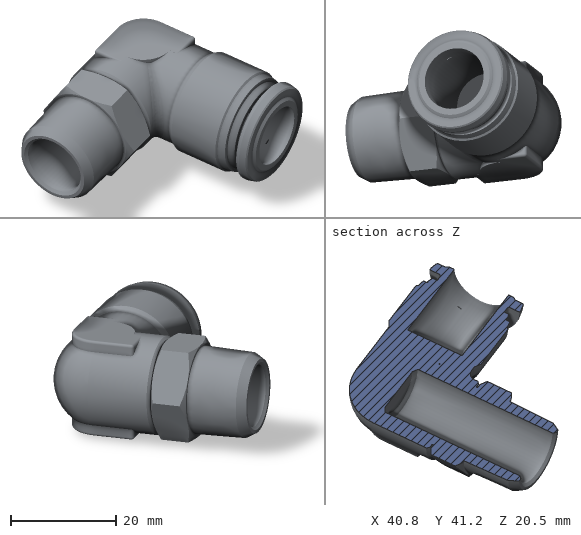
import cadquery as cq
import math


overall_width = 40.8
overall_length = 41.25
sleeve_diameter = 20.5
sleeve_radius = sleeve_diameter / 2

body_radius = 9.5
body_end = 12.3
body_end_chamfer = 0.5
crease_fillet = 1.5
crease_half_height = 9.08

pad_height = body_radius + 0.02
pad_radius = 6.0
pad_reach = 7.95
pad_edge_fillet = 0.5

hex_start = 12.5
hex_length = 7.0
hex_corner_radius = 10.4
hex_face_radius = hex_corner_radius * math.cos(math.pi / 6)
hex_chamfer_angle = 30.0
gap_radius = 8.13

stem_end = overall_length - sleeve_radius
stem_root_radius = 8.45
stem_tip_radius = 8.2
stem_chamfer_length = 1.77
stem_end_radius = 7.18

bore_radius = 6.0
bore_mouth_radius = 6.5
bore_mouth_length = 0.55
bore_floor_radius = 5.0
bore_floor_taper = 0.58
bore_depth = stem_end

sleeve_taper_start = 12.05
sleeve_start = 13.3
sleeve_end = 23.22
sleeve_lip_start = 23.5
sleeve_lip_radius = 9.9
sleeve_lip_end = 25.0
sleeve_lip_end_radius = 9.6
guide_groove_width = 0.12
guide_groove_radius = 8.8
guide_end = 26.45
guide_radius = 8.9
guide_end_radius = 8.45

neck_radius = 7.45
neck_fillet = 0.45
rim_start = 27.8
rim_radius = 10.0
rim_taper_start = 28.42
rim_end = 30.0
rim_end_radius = 9.7
rim_chamfer = 0.25
button_end = overall_width - hex_corner_radius
button_step_radius = 7.75
button_end_radius = 7.18

tube_bore_radius = 6.0

slit_width = 1.0
slit_length = 0.25
slit_tilt = 25.0
slit_count = 2

select_margin = 0.05


def revolve_socket(profile):
    """Revolve an (x, radius) profile about the X axis."""
    return profile.close().revolve(360, (0, 0, 0), (1, 0, 0))


def revolve_stem(points):
    """Revolve (radius, distance along -Y) points about the Y axis."""
    outline = [(radius, -distance) for radius, distance in points]
    return cq.Workplane("XY").polyline(outline).close().revolve(360, (0, 0, 0), (0, 1, 0))


def make_body():
    socket_leg = cq.Workplane("YZ").circle(body_radius).extrude(sleeve_start)
    stem_leg = (
        cq.Workplane("XZ").circle(body_radius).extrude(body_end)
        .faces("<Y").chamfer(body_end_chamfer)
    )
    slab = cq.Workplane("XY").box(4 * body_end, 4 * body_end, 2 * crease_half_height)
    inner_corner = slab.translate((2 * body_end, -2 * body_end, 0))
    crease_region = cq.selectors.BoxSelector(
        (0, -body_radius + select_margin, -crease_half_height + select_margin),
        (body_radius - select_margin, 0, crease_half_height - select_margin),
    )
    crease = (
        socket_leg.union(stem_leg).intersect(inner_corner)
        .edges(crease_region).fillet(crease_fillet)
    )
    elbow = cq.Workplane("XY").sphere(body_radius)
    return socket_leg.union(stem_leg).union(elbow).union(crease)


def make_pads():
    """One prism through the body whose two ends stand out as the flat pads."""
    arc_middle = pad_radius / math.sqrt(2)
    prism = (
        cq.Workplane("XY").moveTo(pad_radius, 0).lineTo(pad_reach, 0)
        .lineTo(pad_reach, pad_radius).lineTo(0, pad_radius)
        .threePointArc((-arc_middle, arc_middle), (-pad_radius, 0))
        .lineTo(-pad_radius, -pad_reach).lineTo(0, -pad_reach).lineTo(0, -pad_radius)
        .threePointArc((arc_middle, -arc_middle), (pad_radius, 0))
        .close().extrude(pad_height, both=True)
    )
    sharp_rim = prism.faces("|Z").edges(cq.selectors.BoxSelector(
        (-select_margin, -pad_reach + select_margin, -2 * pad_height),
        (pad_reach - select_margin, select_margin, 2 * pad_height),
    )).vals()
    rim_edges = prism.faces("|Z").edges().vals()
    soft_edges = [edge for edge in rim_edges if not any(edge.isSame(sharp) for sharp in sharp_rim)]
    outer_corners = [
        prism.edges("|Z").edges(cq.selectors.NearestToPointSelector(corner)).val()
        for corner in ((pad_reach, pad_radius, 0), (-pad_radius, -pad_reach, 0))
    ]
    return prism.newObject(soft_edges + outer_corners).fillet(pad_edge_fillet)


def make_nut():
    nut = (
        cq.Workplane("XZ", origin=(0, -hex_start, 0))
        .polygon(6, 2 * hex_corner_radius).extrude(hex_length)
    )
    drop = (hex_corner_radius - hex_face_radius) * math.tan(math.radians(hex_chamfer_angle))
    hex_end = hex_start + hex_length
    envelope = revolve_stem([
        (0, hex_start), (hex_face_radius, hex_start), (hex_corner_radius, hex_start + drop),
        (hex_corner_radius, hex_end - drop), (hex_face_radius, hex_end), (0, hex_end),
    ])
    return nut.intersect(envelope)


def make_stem():
    return revolve_stem([
        (0, 0), (gap_radius, 0), (gap_radius, hex_start + hex_length / 2),
        (stem_root_radius, hex_start + hex_length / 2),
        (stem_root_radius, hex_start + hex_length),
        (stem_tip_radius, stem_end - stem_chamfer_length),
        (stem_end_radius, stem_end), (0, stem_end),
    ])


def make_bore():
    floor = stem_end - bore_depth
    return revolve_stem([
        (0, floor), (bore_floor_radius, floor), (bore_radius, floor + bore_floor_taper),
        (bore_radius, stem_end - bore_mouth_length), (bore_mouth_radius, stem_end), (0, stem_end),
    ])


def make_socket():
    sleeve = (
        cq.Workplane("XY").moveTo(0, 0).lineTo(0, body_radius)
        .lineTo(sleeve_taper_start, body_radius).lineTo(sleeve_start, sleeve_radius)
        .lineTo(sleeve_end, sleeve_radius).lineTo(sleeve_lip_start, sleeve_lip_radius)
        .lineTo(sleeve_lip_end, sleeve_lip_end_radius).lineTo(sleeve_lip_end, guide_groove_radius)
        .lineTo(sleeve_lip_end + guide_groove_width, guide_groove_radius)
        .lineTo(sleeve_lip_end + guide_groove_width, guide_radius)
        .lineTo(guide_end, guide_end_radius).lineTo(guide_end, 0)
    )
    return revolve_socket(sleeve)


def make_button():
    button = (
        cq.Workplane("XY").moveTo(0, 0).lineTo(0, neck_radius)
        .lineTo(rim_start - neck_fillet, neck_radius)
        .radiusArc((rim_start, neck_radius + neck_fillet), -neck_fillet)
        .lineTo(rim_start, rim_radius).lineTo(rim_taper_start, rim_radius)
        .lineTo(rim_end - rim_chamfer, rim_end_radius)
        .lineTo(rim_end, rim_end_radius - rim_chamfer)
        .lineTo(rim_end, button_step_radius).lineTo(button_end, button_end_radius)
        .lineTo(button_end, 0)
    )
    return revolve_socket(button)


def make_tube_bore():
    return (
        cq.Workplane("YZ", origin=(sleeve_start, 0, 0))
        .circle(tube_bore_radius).extrude(button_end - sleeve_start)
    )


def make_slits():
    slits = cq.Workplane("XY")
    for index in range(slit_count):
        angle = slit_tilt + index * 360 / slit_count
        slit = (
            cq.Workplane("XY", origin=(guide_end, 0, 0))
            .box(slit_length, slit_width, rim_radius, centered=(False, True, False))
            .rotate((0, 0, 0), (1, 0, 0), angle)
        )
        slits = slits.union(slit)
    return slits


result = make_body()
for piece in (make_pads(), make_socket(), make_button(), make_nut(), make_stem()):
    result = result.union(piece)
for hollow in (make_bore(), make_tube_bore(), make_slits()):
    result = result.cut(hollow)